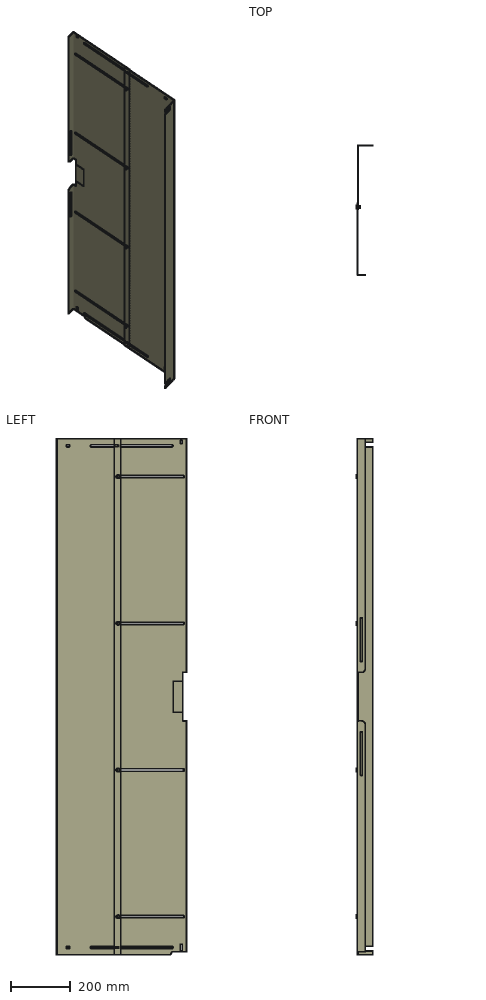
import cadquery as cq


height = 1727.2
total_width = 435.1
total_depth = 56.83
sheet = 1.9
head_height = 4.0
half_height = height / 2

front_width = 241.3
lip_depth = 27.0
rear_edge_y = 220.5
rear_flange_end_x = total_depth - head_height
inner_bend_radius = 0.9
outer_bend_radius = inner_bend_radius + sheet

opening_height = 162.0
opening_depth_y = 12.0
lip_corner_radius = 13.0
handle_recess_height = 104.0
handle_recess_width = 33.0
handle_recess_depth = sheet / 2

lip_slot_length = 147.0
lip_slot_width = 6.5
lip_slot_offset_z = 190.5
lip_slot_x = 14.0

step_height = 10.0
step_width = 48.0
step_ramp = 6.0

end_cutout_y = 15.0
end_cutout_width = 6.0
top_cutout_height = 9.0
top_cutout_gap = 7.0
bottom_cutout_gap = 4.0
bottom_cutout_height = 21.0

slot_width = 7.0
slot_near_y = 8.0
slot_far_y = 236.0
bolt_y = 228.6
outer_bolt_z = 736.0
bolt_heights = [-outer_bolt_z, -outer_bolt_z / 3, outer_bolt_z / 3, outer_bolt_z]
head_diameter = 11.5
shank_diameter = 6.0
nut_across_flats = 8.5
nut_sides = 6
nut_height = 5.6
bolt_end_x = 2 * sheet + nut_height

end_slot_z = 839.0
end_slot_width = 6.5
front_end_slot = (46.0, 222.0)
rear_end_slot = (bolt_y, 321.0)
rear_short_slot = (391.0, 402.0)

notch_edge_distance = 13.0
notch_height = 15.0
notch_depth = 27.0


def block(x_range, y_range, z_range):
    """Axis-aligned box between the given limits."""
    (x0, x1), (y0, y1), (z0, z1) = x_range, y_range, z_range
    return cq.Workplane("XY").box(x1 - x0, y1 - y0, z1 - z0, centered=False).translate((x0, y0, z0))


def slot_along_y(x_start, y_range, z, width):
    """Round-ended slot cutter through one sheet thickness, between the two Y limits."""
    y0, y1 = y_range
    return (
        cq.Workplane("YZ", origin=(x_start, (y0 + y1) / 2, z))
        .slot2D(y1 - y0, width)
        .extrude(sheet)
    )


def disc(x_start, x_end, z, diameter):
    """Cylinder along X on the bolt axis at height z."""
    return cq.Workplane("YZ", origin=(x_start, bolt_y, z)).circle(diameter / 2).extrude(x_end - x_start)


def make_lip():
    """Lip along the front panel edge, interrupted by the handle opening."""
    bottom = -half_height + step_height
    lip = block((0, lip_depth), (0, sheet), (bottom, half_height))
    lip = lip.cut(block((sheet, lip_depth), (0, sheet), (-opening_height / 2, opening_height / 2)))
    for side in (-1, 1):
        corner = cq.selectors.NearestToPointSelector((lip_depth, sheet / 2, side * opening_height / 2))
        lip = lip.edges(corner).fillet(lip_corner_radius)
        slot = (
            cq.Workplane("XZ", origin=(lip_slot_x, sheet, side * lip_slot_offset_z))
            .slot2D(lip_slot_length, lip_slot_width, 90)
            .extrude(sheet)
        )
        lip = lip.cut(slot)
    return lip


def make_front_panel():
    """Slotted cover sheet with a lip, a handle opening and a stepped lower corner."""
    sheet_outline = [
        (0, half_height),
        (front_width, half_height),
        (front_width, -half_height),
        (step_width + step_ramp, -half_height),
        (step_width, -half_height + step_height),
        (0, -half_height + step_height),
    ]
    panel = cq.Workplane("YZ").polyline(sheet_outline).close().extrude(sheet).union(make_lip())

    panel = panel.cut(
        block((0, sheet), (0, opening_depth_y), (-opening_height / 2, opening_height / 2))
    )

    panel = panel.edges("|Z and <X and <Y").fillet(outer_bend_radius)
    inner_corner = cq.selectors.BoxSelector(
        (sheet / 2, sheet / 2, -height), (sheet * 1.5, sheet * 1.5, height)
    )
    panel = panel.edges("|Z").edges(inner_corner).fillet(inner_bend_radius)

    panel = panel.cut(
        block(
            (0, handle_recess_depth),
            (opening_depth_y, opening_depth_y + handle_recess_width),
            (-handle_recess_height / 2, handle_recess_height / 2),
        )
    )

    for z in bolt_heights:
        panel = panel.cut(slot_along_y(0, (slot_near_y, slot_far_y), z, slot_width))
    for z in (-end_slot_z, end_slot_z):
        panel = panel.cut(slot_along_y(0, front_end_slot, z, end_slot_width))

    cutout_y_range = (end_cutout_y, end_cutout_y + end_cutout_width)
    top = half_height - top_cutout_gap
    bottom = -half_height + step_height + bottom_cutout_gap
    panel = panel.cut(block((0, sheet), cutout_y_range, (top - top_cutout_height, top)))
    panel = panel.cut(block((0, sheet), cutout_y_range, (bottom, bottom + bottom_cutout_height)))
    return panel


def make_rear_panel():
    """Flanged sheet behind the front panel, with bolt holes and mounting slots."""
    full_height = (-half_height, half_height)
    panel = block((sheet, 2 * sheet), (rear_edge_y, total_width), full_height)
    flange = block((sheet, rear_flange_end_x), (total_width - sheet, total_width), full_height)
    panel = panel.union(flange)

    notch_top = half_height - notch_edge_distance
    for low in (notch_top - notch_height, -notch_top):
        panel = panel.cut(
            block(
                (rear_flange_end_x - notch_depth, rear_flange_end_x),
                (total_width - sheet, total_width),
                (low, low + notch_height),
            )
        )
    for z in (-end_slot_z, end_slot_z):
        panel = panel.cut(slot_along_y(sheet, rear_end_slot, z, end_slot_width))
        panel = panel.cut(slot_along_y(sheet, rear_short_slot, z, end_slot_width))
    for z in bolt_heights:
        panel = panel.cut(disc(sheet, 2 * sheet, z, shank_diameter))
    return panel


def make_bolt(z):
    """Round-headed bolt through a front slot and a rear hole."""
    return disc(-head_height, 0, z, head_diameter).union(disc(0, bolt_end_x, z, shank_diameter))


def make_nut(z):
    """Hexagonal nut against the inner face of the rear panel."""
    nut = (
        cq.Workplane("YZ", origin=(2 * sheet, bolt_y, z))
        .polygon(nut_sides, nut_across_flats, circumscribed=True)
        .extrude(nut_height)
    )
    return nut.cut(disc(2 * sheet, bolt_end_x, z, shank_diameter))


front_panel = make_front_panel()
rear_panel = make_rear_panel()
bolts = [make_bolt(z).val() for z in bolt_heights]
nuts = [make_nut(z).val() for z in bolt_heights]

result = cq.Compound.makeCompound([front_panel.val(), rear_panel.val(), *bolts, *nuts])